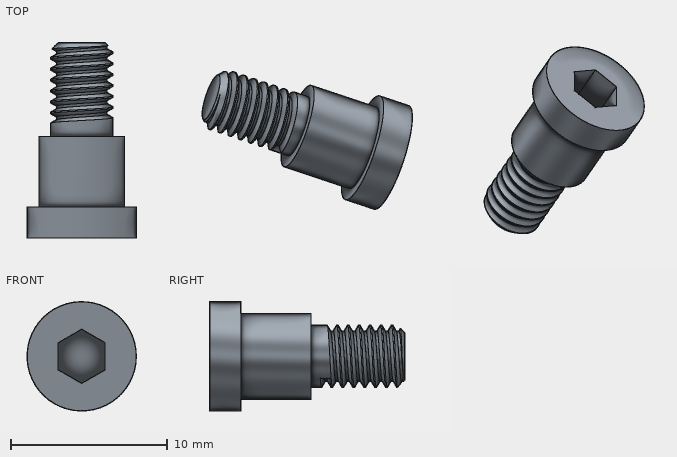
import cadquery as cq
import math

head_diameter = 7
head_length = 2
shoulder_diameter = 5.5
shoulder_length = 4.5
thread_diameter = 4
thread_length = 6
tip_chamfer = 0.5

hex_across_flats = 3
hex_depth = 2.5

pitch = 0.7
crest_width = pitch / 8
root_width = pitch / 4
flank_slope = math.tan(math.radians(30))
thread_depth = (pitch - crest_width - root_width) / (2 * flank_slope)
groove_start = 0.89
groove_start_angle = 45
groove_overshoot = 0.05
groove_exit = pitch

blank_extra = 3 * pitch
trim_margin = 0.12


def make_blank():
    """Three stacked cylinders, the last one overlong so that the whole groove lies inside it."""
    blank_thread_length = thread_length + blank_extra
    blank = cq.Workplane("XY").circle(head_diameter / 2).extrude(head_length)
    blank = blank.faces(">Z").workplane().circle(shoulder_diameter / 2).extrude(shoulder_length)
    return blank.faces(">Z").workplane().circle(thread_diameter / 2).extrude(blank_thread_length)


def make_tip_trimmer():
    """Solid with a conical recess that cuts the tip chamfer and the surplus length."""
    total_length = head_length + shoulder_length + thread_length
    tip_radius = thread_diameter / 2 - tip_chamfer
    outer_radius = thread_diameter / 2 + trim_margin
    chamfer_base = total_length - (outer_radius - tip_radius)
    profile = cq.Workplane("XZ").polyline([
        (0, total_length),
        (tip_radius, total_length),
        (outer_radius, chamfer_base),
        (outer_radius, total_length + blank_extra + trim_margin),
        (0, total_length + blank_extra + trim_margin),
    ]).close()
    return profile.revolve(360, (0, 0, 0), (0, 1, 0))


def make_hex_socket():
    """Hexagonal prism with two corners on the Y axis."""
    across_corners = hex_across_flats / math.cos(math.radians(30))
    socket = cq.Workplane("XY").polygon(6, across_corners).extrude(hex_depth)
    return socket.rotate((0, 0, 0), (0, 0, 1), 90)


def make_thread_groove():
    """Right-hand helical sweep of the space between two crests."""
    root_radius = thread_diameter / 2 - thread_depth
    outer_radius = thread_diameter / 2 + groove_overshoot
    half_root = root_width / 2
    half_mouth = half_root + (outer_radius - root_radius) * flank_slope
    path = cq.Wire.makeHelix(pitch, thread_length - groove_start + groove_exit, root_radius)
    profile = cq.Workplane("XZ").polyline([
        (root_radius, -half_root),
        (outer_radius, -half_mouth),
        (outer_radius, half_mouth),
        (root_radius, half_root),
    ]).close()
    groove = profile.sweep(cq.Workplane(path), isFrenet=True)
    groove = groove.rotate((0, 0, 0), (0, 0, 1), groove_start_angle)
    return groove.translate((0, 0, head_length + shoulder_length + groove_start))


screw = make_blank().cut(make_hex_socket()).cut(make_thread_groove()).cut(make_tip_trimmer())
result = screw.rotate((0, 0, 0), (1, 0, 0), -90)